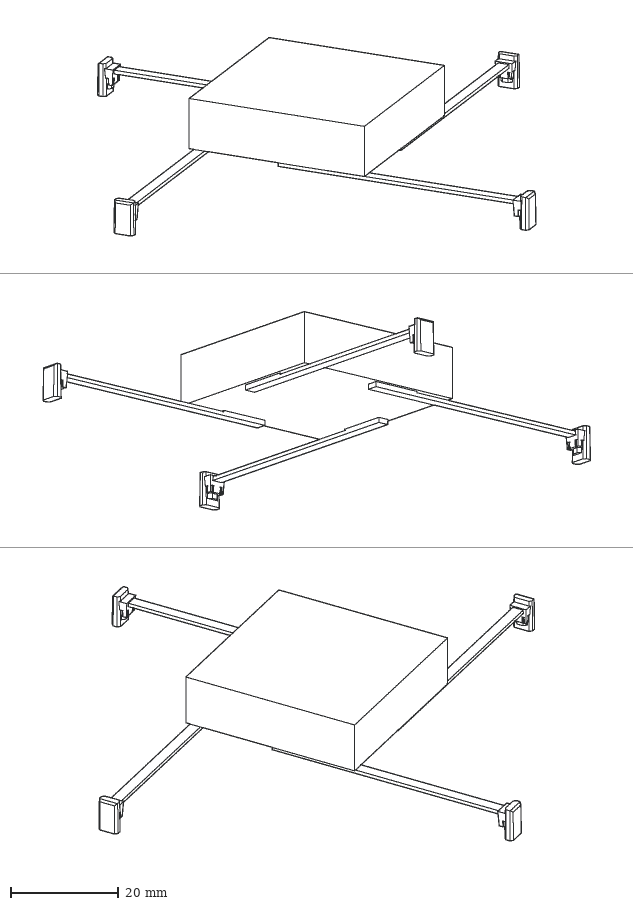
import cadquery as cq

body_side = 36.0
body_height = 10.0

arm_count = 4
arm_reach = 51.7
arm_offset = 16.2
strap_width = 2.2
strap_thickness = 0.75
strap_bottom = -1.0
pad_length = 10.0

plate_width = 4.1
plate_thickness = 1.85
plate_bottom = -5.5
plate_top = 1.0
plate_chamfer = 0.5
plate_top_chamfer = 0.4
plate_draft = 0.8
plate_inner = arm_reach - plate_thickness

bracket_width = 3.5
bracket_length = 1.4
bracket_bottom = -3.2
bracket_draft = 3.5
bracket_inner = plate_inner - bracket_length
plate_overlap = 0.5

groove_top = -1.9
groove_depth = 0.4
groove_width = 0.4
groove_spacing = 2.0

lug_width = 2.4
lug_tip_width = 1.2
lug_length = 0.6
lug_bottom = -4.2


def box_between(x_range, y_range, z_range):
    """Box spanning the given coordinate ranges."""
    sizes = [high - low for low, high in (x_range, y_range, z_range)]
    corner = (x_range[0], y_range[0], z_range[0])
    return cq.Workplane("XY").box(*sizes, centered=False).translate(corner)


def centred(width):
    """Coordinate range of a width centred on zero."""
    return (-width / 2, width / 2)


def make_strap():
    """Flat strap along +X with its raised inner pad."""
    strap_top = strap_bottom + strap_thickness
    strap = box_between((0, plate_inner), centred(strap_width), (strap_bottom, strap_top))
    pad = box_between((0, pad_length), centred(strap_width), (strap_bottom, 0))
    return strap.union(pad)


def make_plate():
    """Drafted foot plate with chamfered upright edges and a chamfered outer top edge."""
    footprint = box_between((plate_inner, arm_reach), centred(plate_width), (0, 1))
    footprint = footprint.edges("|Z").chamfer(plate_chamfer).faces("<Z").wires().val()
    plate = (
        cq.Workplane("XY")
        .add(footprint)
        .toPending()
        .extrude(plate_top - plate_bottom, taper=plate_draft)
        .translate((0, 0, plate_bottom))
    )
    return plate.faces(">Z").edges(">X").chamfer(plate_top_chamfer)


def make_grooves():
    """Grooves to cut: two in the inner face and one in each side along the plate."""
    z_range = (bracket_bottom, groove_top)
    half_width = bracket_width / 2
    groove_edge = (groove_spacing - groove_width) / 2
    inner_groove = box_between(
        (bracket_inner, bracket_inner + groove_depth),
        (groove_edge, groove_edge + groove_width),
        z_range,
    )
    side_groove = box_between(
        (plate_inner - groove_width, plate_inner + plate_overlap),
        (half_width - groove_depth, half_width),
        z_range,
    )
    grooves = inner_groove.union(side_groove)
    return grooves.union(grooves.mirror("XZ"))


def make_bracket():
    """Drafted bracket block, grooved in its lower part."""
    length = bracket_length + plate_overlap
    bracket = (
        cq.Workplane("XY")
        .center(bracket_inner + length / 2, 0)
        .rect(length, bracket_width)
        .extrude(bracket_bottom, taper=bracket_draft)
    )
    return bracket.cut(make_grooves())


def make_lug():
    """Lug standing on the plate, narrowing towards the body."""
    lug_inner = plate_inner - lug_length
    lug_root = plate_inner + plate_overlap
    return (
        cq.Workplane("XY", origin=(0, 0, lug_bottom))
        .moveTo(lug_root, -lug_width / 2)
        .lineTo(plate_inner, -lug_width / 2)
        .lineTo(lug_inner, -lug_tip_width / 2)
        .lineTo(lug_inner, lug_tip_width / 2)
        .lineTo(plate_inner, lug_width / 2)
        .lineTo(lug_root, lug_width / 2)
        .close()
        .extrude(bracket_bottom - lug_bottom)
    )


def make_arm():
    """Complete arm, running along +X on the -Y side of the body axis."""
    arm = make_strap().union(make_bracket()).union(make_lug()).union(make_plate())
    return arm.translate((0, -arm_offset, 0))


result = box_between(centred(body_side), centred(body_side), (0, body_height))
arm = make_arm()
for index in range(arm_count):
    angle = index * 360 / arm_count
    result = result.union(arm.rotate((0, 0, 0), (0, 0, 1), angle))